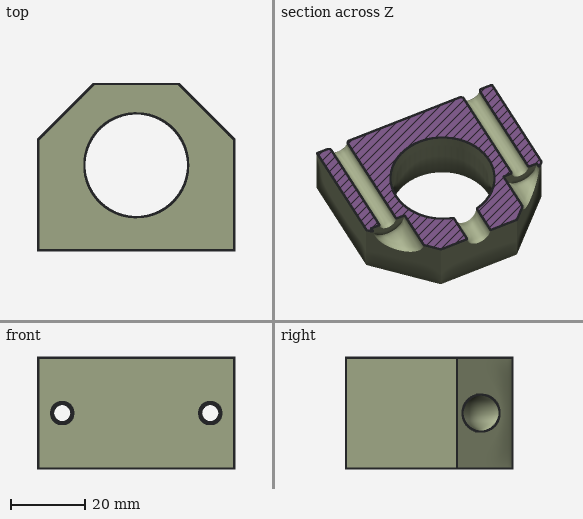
import cadquery as cq

width = 53.0
depth = 45.0
height = 30.0
corner_cut = 15.0
bore_diameter = 28.0
bore_to_front = 23.0

hole_spacing = 40.0
hole_diameter = 4.917
hole_mouth_diameter = 6.0
counterbore_diameter = 10.0

cross_hole_diameter = 6.917

half_width = width / 2
front_y = -bore_to_front
rear_y = front_y + depth
bevel_start_y = rear_y - corner_cut
counterbore_floor_y = bevel_start_y
mid_height = height / 2
mouth_chamfer = (hole_mouth_diameter - hole_diameter) / 2


def cylinder_along_y(diameter, x, start_y, end_y):
    """Cylinder at mid height, running in +Y from start_y to end_y."""
    return cq.Workplane(
        cq.Solid.makeCylinder(
            diameter / 2,
            end_y - start_y,
            cq.Vector(x, start_y, mid_height),
            cq.Vector(0, 1, 0),
        )
    )


def make_block():
    """Rectangular block with both rear corners bevelled."""
    outline = [
        (-half_width, front_y),
        (half_width, front_y),
        (half_width, bevel_start_y),
        (half_width - corner_cut, rear_y),
        (-half_width + corner_cut, rear_y),
        (-half_width, bevel_start_y),
    ]
    return cq.Workplane("XY").polyline(outline).close().extrude(height)


def make_bore():
    """Vertical bore through the full height."""
    return cq.Workplane("XY").circle(bore_diameter / 2).extrude(height)


def make_mounting_hole(x):
    """Through hole with a 45 degree front mouth and a rear counterbore open to the bevel."""
    drill = cylinder_along_y(hole_diameter, x, front_y, rear_y)
    mouth = cq.Workplane(
        cq.Solid.makeCone(
            hole_mouth_diameter / 2,
            hole_diameter / 2,
            mouth_chamfer,
            cq.Vector(x, front_y, mid_height),
            cq.Vector(0, 1, 0),
        )
    )
    counterbore = cylinder_along_y(counterbore_diameter, x, counterbore_floor_y, rear_y)
    return drill.union(mouth).union(counterbore)


result = make_block().cut(make_bore())
for side in (-1, 1):
    result = result.cut(make_mounting_hole(side * hole_spacing / 2))
result = result.cut(cylinder_along_y(cross_hole_diameter, 0, 0, rear_y))